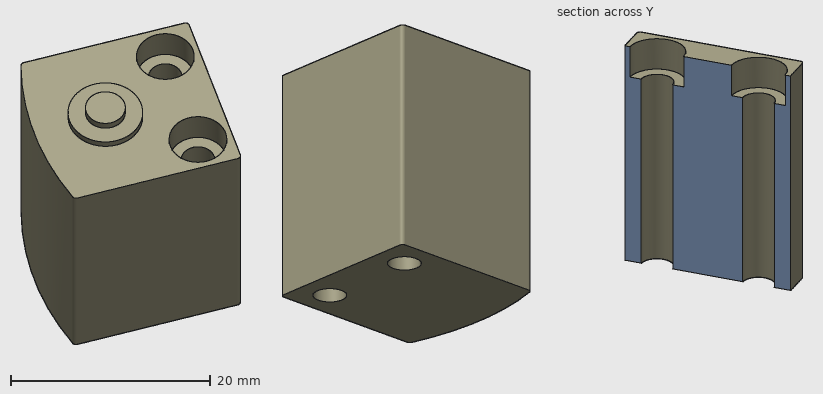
import cadquery as cq

block_width = 18.0
block_height = 24.0
back_y = 11.5
depth = 18.95
front_y = back_y - depth
front_radius = 30.01
edge_radius = 0.4

hole_diameter = 3.4
counterbore_diameter = 5.8
counterbore_depth = 3.4
hole_spacing = 11.02
hole_y = back_y - 3.5

collar_diameter = 7.5
collar_height = 0.71
rod_diameter = 4.0
total_height = 25.5
rod_height = total_height - block_height - collar_height


def make_block():
    """Block with a cylindrical front face and rounded vertical edges."""
    half_width = block_width / 2
    bow = front_radius - (front_radius**2 - half_width**2) ** 0.5
    corner_y = front_y + bow
    block = (
        cq.Workplane("XY")
        .moveTo(half_width, back_y)
        .lineTo(-half_width, back_y)
        .lineTo(-half_width, corner_y)
        .threePointArc((0, front_y), (half_width, corner_y))
        .close()
        .extrude(block_height)
        .edges("|Z")
        .fillet(edge_radius)
    )
    return (
        block.faces(">Z")
        .workplane(origin=(0, 0, block_height))
        .pushPoints([(side * hole_spacing / 2, hole_y) for side in (-1, 1)])
        .cboreHole(hole_diameter, counterbore_diameter, counterbore_depth)
    )


def make_plunger():
    """Collar resting on top of the block, with the narrower rod above it."""
    block_top = cq.Workplane("XY").workplane(offset=block_height)
    collar = block_top.circle(collar_diameter / 2).extrude(collar_height)
    return collar.faces(">Z").workplane().circle(rod_diameter / 2).extrude(rod_height)


block = make_block()
plunger = make_plunger()
result = cq.Compound.makeCompound([block.val(), plunger.val()])